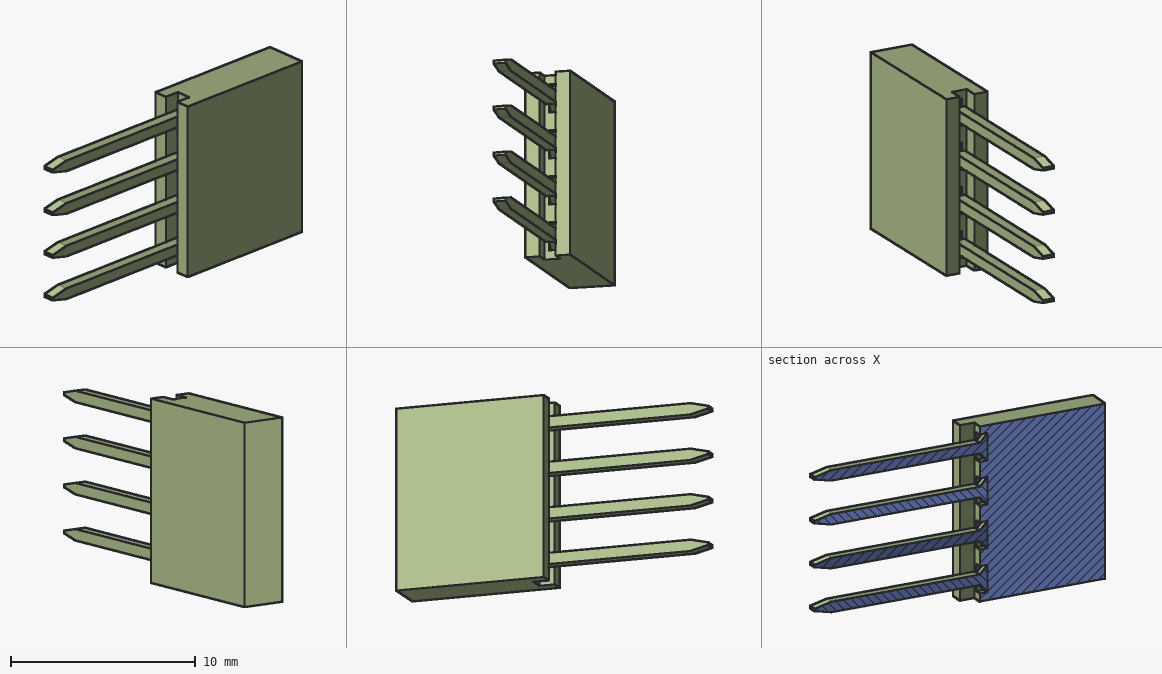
import cadquery as cq

contact_count = 4
pitch = 2.54

housing_width = pitch
housing_height = contact_count * pitch
housing_length = 8.5
slot_width = 0.9
slot_depth = 0.88

overall_length = 17.64
pin_width = 0.67
pin_height = 0.64
tip_height = 0.15
tip_length = 1.0

root_width = 0.37
root_height = 1.55
root_length = (root_height - pin_height) / 2

tip_y = -overall_length / 2
taper_y = tip_y + tip_length
back_y = overall_length / 2
mouth_y = back_y - housing_length
slot_floor_y = mouth_y + slot_depth
root_end_y = slot_floor_y + root_length

contact_heights = [(i - (contact_count - 1) / 2) * pitch for i in range(contact_count)]


def block(width, height, start_y, end_y, center_z=0):
    """Rectangular block centred on X, running along Y from start_y to end_y."""
    length = end_y - start_y
    return cq.Workplane("XY").box(width, length, height).translate((0, start_y + length / 2, center_z))


def make_housing():
    """Block with a full-height slot and one blind pocket per contact in the slot floor."""
    housing = block(housing_width, housing_height, mouth_y, back_y)
    housing = housing.cut(block(slot_width, housing_height, mouth_y, slot_floor_y))
    for center_z in contact_heights:
        housing = housing.cut(block(root_width, root_height, slot_floor_y, root_end_y, center_z))
    return housing


def taper(width, start_height, end_height, start_y, end_y):
    """Prism of constant width whose height changes evenly from start_y to end_y."""
    outline = [
        (start_y, -start_height / 2),
        (end_y, -end_height / 2),
        (end_y, end_height / 2),
        (start_y, start_height / 2),
    ]
    return cq.Workplane("YZ").polyline(outline).close().extrude(width / 2, both=True)


def make_pin(center_z):
    """Straight shank with a wedge tip at -Y and a flared root inside the housing."""
    tip = taper(pin_width, tip_height, pin_height, tip_y, taper_y)
    shank = block(pin_width, pin_height, taper_y, slot_floor_y)
    root = taper(root_width, pin_height, root_height, slot_floor_y, root_end_y)
    return shank.union(tip).union(root).translate((0, 0, center_z))


housing = make_housing()
pins = [make_pin(center_z) for center_z in contact_heights]

result = cq.Compound.makeCompound([housing.val(), *[pin.val() for pin in pins]])